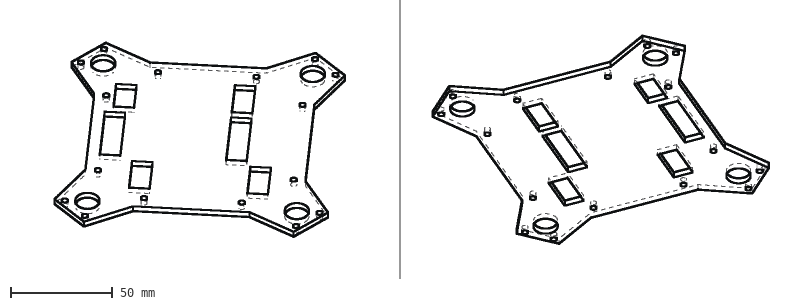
import cadquery as cq

span_x = 168.0
span_y = 169.0
thickness = 3.2
arm_end_half_width = 11.2
arm_root_half_width = 18.0
arm_root_reach = 58.6

small_hole_diameter = 3.0
motor_hole_diameter = 12.0
motor_hole_centers = [(0, 73.2), (73.2, 0.2), (0.3, -73.0), (-73.2, 0.2)]
arm_screw_centers = [
    (-7.8, 81.3), (7.8, 81.3),
    (81.5, 7.8), (81.5, -7.5),
    (8.1, -81.3), (-7.1, -81.3),
    (-80.8, -7.8), (-81.0, 7.5),
]
body_screw_centers = [
    (14.4, 54.2), (-16.4, 50.7),
    (-50.5, 16.2), (-53.9, -14.4),
    (-13.9, -54.0), (16.9, -50.5),
    (50.7, -16.2), (54.2, 14.4),
]

window_angle = -45
window_width = 10.1
windows = [
    ((-7.8, 35.0), 20.3),
    ((13.5, 13.7), 32.0),
    ((-47.7, -7.6), 16.9),
    ((-30.0, -30.8), 32.1),
    ((43.6, 1.0), 20.0),
    ((2.5, -40.4), 20.0),
]


def make_plate():
    """Square body turned by 45 degrees with a tapered arm at each corner."""
    end_x = span_x / 2
    end_y = span_y / 2
    quarter = [
        (end_x, arm_end_half_width),
        (arm_root_reach, arm_root_half_width),
        (arm_root_half_width, arm_root_reach),
        (arm_end_half_width, end_y),
    ]
    half = quarter + [(-x, y) for x, y in reversed(quarter)]
    outline = half + [(-x, -y) for x, y in half]
    return cq.Workplane("XY").polyline(outline).close().extrude(thickness)


def cut_holes(body, centers, diameter):
    cutter = cq.Workplane("XY").pushPoints(centers).circle(diameter / 2).extrude(thickness)
    return body.cut(cutter)


def cut_window(body, center, length):
    cutter = (
        cq.Workplane("XY")
        .rect(length, window_width)
        .extrude(thickness)
        .rotate((0, 0, 0), (0, 0, 1), window_angle)
        .translate((*center, 0))
    )
    return body.cut(cutter)


result = make_plate()
result = cut_holes(result, motor_hole_centers, motor_hole_diameter)
result = cut_holes(result, arm_screw_centers + body_screw_centers, small_hole_diameter)
for window_center, window_length in windows:
    result = cut_window(result, window_center, window_length)